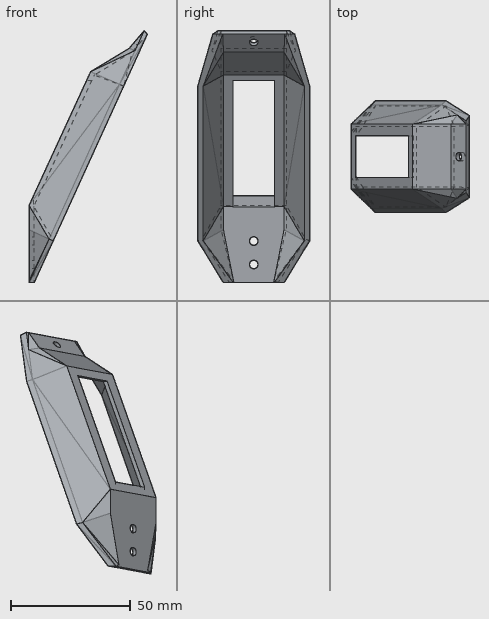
import cadquery as cq
import math

depth = 49.6
height = 105.6
width = 47.0
half_width = width / 2
wall = 2.0

back_foot_x = 2.2
back_top_z = 104.2
back_slope = (depth - back_foot_x) / back_top_z

ridge_half = 13.6
foot = (0, 0)
taper_start = (0, 22.2)
lower_bend = (0, 32.4)
upper_bend = (25.8, 88.4)
valley = (41.9, 98.2)
tip = (48.3, height)

foot_half = 12.8
foot_front_half = 10.2
foot_face_half = 8.6
foot_face_z = 0.8
top_half = 17.2
top_front_half = 15.0
lower_corner_z = 17.5
upper_corner_z = 82.4
rim_inset = 1.8
rim_rise_x = 1.8
rim_rise_z = 0.7
valley_rim_fraction = 0.63

cavity_ridge_half = ridge_half - 1.0
cavity_half = half_width - 2.3
cavity_foot_half = foot_front_half - wall
cavity_top_half = top_front_half - wall

window_half = 8.7
window_low_margin = 4.0
window_high_margin = 3.7
window_relief = 4.8
hole_diameter = 3.5
foot_hole_heights = (7.6, 17.4)
hole_reach = 8.5


def at(profile_point, y):
    """Place an XZ profile point at the given Y."""
    return (profile_point[0], y, profile_point[1])


def back_point(y, z):
    return (back_foot_x + back_slope * z, y, z)


def mirrored(point):
    return (point[0], -point[1], point[2])


def faceted_solid(side_faces, center_outlines):
    """Close one side's facets with their mirror images and the faces that span the centre."""
    outlines = list(side_faces)
    outlines += [[mirrored(p) for p in face] for face in side_faces]
    outlines += [edge + [mirrored(p) for p in reversed(edge)] for edge in center_outlines]
    faces = []
    for outline in outlines:
        wire = cq.Wire.makePolygon([cq.Vector(*p) for p in outline], close=True)
        faces.append(cq.Face.makeFromWires(wire))
    solid = cq.Solid.makeSolid(cq.Shell.makeShell(faces))
    return cq.Workplane(obj=solid.fix())


def offset_line(start, end):
    """Return a point and direction of a profile line moved inward by the wall."""
    dx, dz = end[0] - start[0], end[1] - start[1]
    length = math.hypot(dx, dz)
    return (start[0] + wall * dz / length, start[1] - wall * dx / length), (dx, dz)


def crossing(first, second):
    """Intersect two XZ lines given as (point, direction)."""
    (px, pz), (ux, uz) = first
    (qx, qz), (vx, vz) = second
    t = ((qx - px) * vz - (qz - pz) * vx) / (ux * vz - uz * vx)
    return (px + t * ux, pz + t * uz)


def make_body():
    back = [
        back_point(foot_half, 0),
        back_point(half_width, lower_corner_z),
        back_point(half_width, upper_corner_z),
        back_point(top_half, back_top_z),
    ]
    rim_foot = at(foot, foot_front_half)
    rim_low, rim_high = [
        (x - rim_rise_x, y - rim_inset, z + rim_rise_z) for x, y, z in back[1:3]
    ]
    rim_tip = at(tip, top_front_half)
    rim_valley = tuple(a + valley_rim_fraction * (b - a) for a, b in zip(rim_high, rim_tip))
    face_foot = (0, foot_face_half, foot_face_z)
    r_taper, r_low, r_high, r_valley, r_tip = [
        at(p, ridge_half) for p in (taper_start, lower_bend, upper_bend, valley, tip)
    ]
    side_faces = [
        [back[0], back[1], rim_foot],
        [back[1], rim_low, rim_foot],
        [back[1], back[2], rim_high, rim_low],
        [back[2], back[3], rim_high],
        [back[3], rim_tip, rim_valley],
        [back[3], rim_valley, rim_high],
        [rim_foot, rim_low, face_foot],
        [face_foot, rim_low, r_taper],
        [r_taper, rim_low, r_low],
        [r_low, rim_low, rim_high],
        [r_low, rim_high, r_high],
        [r_high, rim_high, rim_valley],
        [r_high, rim_valley, r_valley],
        [r_valley, rim_valley, r_tip],
        [r_tip, rim_valley, rim_tip],
    ]
    center_outlines = [
        back,
        [back[0], rim_foot],
        [rim_foot, face_foot, r_taper, r_low],
        [r_low, r_high],
        [r_high, r_valley],
        [r_valley, r_tip],
        [r_tip, rim_tip, back[3]],
    ]
    return faceted_solid(side_faces, center_outlines)


def make_cavity():
    back_line = ((back_foot_x, 0), (back_slope, 1))
    front = offset_line(foot, lower_bend)
    slope = offset_line(lower_bend, upper_bend)
    shoulder = offset_line(upper_bend, valley)
    tab = offset_line(valley, tip)

    c_foot = at(crossing(front, back_line), cavity_foot_half)
    c_top = at(crossing(tab, back_line), cavity_top_half)
    c_lower = back_point(cavity_half, lower_corner_z)
    c_upper = back_point(cavity_half, upper_corner_z)
    c_taper = (wall, cavity_ridge_half, taper_start[1])
    c_low, c_high, c_valley = [
        at(crossing(a, b), cavity_ridge_half)
        for a, b in ((front, slope), (slope, shoulder), (shoulder, tab))
    ]
    side_faces = [
        [c_foot, c_lower, c_taper],
        [c_taper, c_lower, c_low],
        [c_low, c_lower, c_upper],
        [c_low, c_upper, c_high],
        [c_high, c_upper, c_valley],
        [c_valley, c_upper, c_top],
    ]
    center_outlines = [
        [c_foot, c_lower, c_upper, c_top],
        [c_foot, c_taper, c_low],
        [c_low, c_high],
        [c_high, c_valley],
        [c_valley, c_top],
    ]
    return faceted_solid(side_faces, center_outlines)


def make_window():
    """Window in the long front face, its ends relieved straight down and straight back."""
    run = (upper_bend[0] - lower_bend[0]) / (upper_bend[1] - lower_bend[1])
    low_z = lower_bend[1] + window_low_margin
    high_z = upper_bend[1] - window_high_margin
    low_x = run * window_low_margin
    high_x = upper_bend[0] - run * window_high_margin
    outline = [
        (low_x, low_z),
        (high_x, high_z),
        (high_x + window_relief, high_z),
        (high_x + window_relief, high_z - window_relief),
        (low_x + window_relief, low_z - window_relief),
        (low_x, low_z - window_relief),
    ]
    return cq.Workplane("XZ").polyline(outline).close().extrude(window_half, both=True)


def make_hole(x, z, direction):
    axis = cq.Vector(*direction).normalized()
    start = cq.Vector(x, 0, z) - axis * (hole_reach / 2)
    return cq.Workplane(obj=cq.Solid.makeCylinder(hole_diameter / 2, hole_reach, start, axis))


result = make_body().cut(make_cavity()).cut(make_window())

for hole_z in foot_hole_heights:
    result = result.cut(make_hole(0, hole_z, (1, 0, 0)))

tab_direction = (tip[0] - valley[0], tip[1] - valley[1])
tab_middle = ((tip[0] + valley[0]) / 2, (tip[1] + valley[1]) / 2)
result = result.cut(make_hole(*tab_middle, (tab_direction[1], 0, -tab_direction[0])))